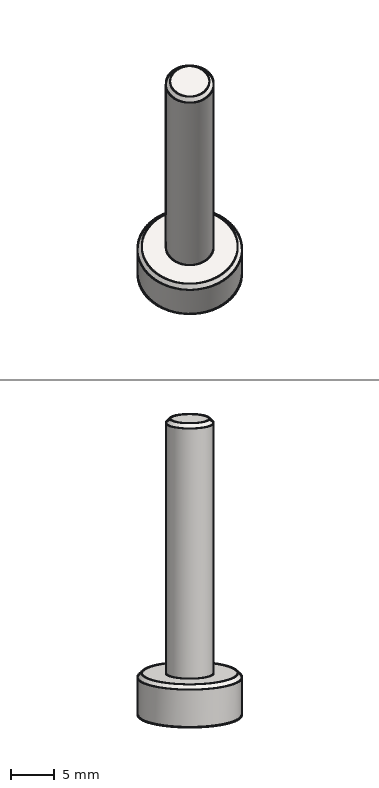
import cadquery as cq

head_diameter = 12.0
head_height = 5.0
pin_diameter = 5.5
total_height = 35.0
top_chamfer = 0.5
base_chamfer = 0.1


def make_head():
    """Disc standing on Z = 0, chamfered on both rims."""
    disc = cq.Workplane("XY").circle(head_diameter / 2).extrude(head_height)
    return disc.faces(">Z").chamfer(top_chamfer).faces("<Z").chamfer(base_chamfer)


def make_pin():
    """Plain pin rising from the top of the head, chamfered at its tip."""
    pin = (
        cq.Workplane("XY", origin=(0, 0, head_height))
        .circle(pin_diameter / 2)
        .extrude(total_height - head_height)
    )
    return pin.faces(">Z").chamfer(top_chamfer)


result = make_head().union(make_pin())